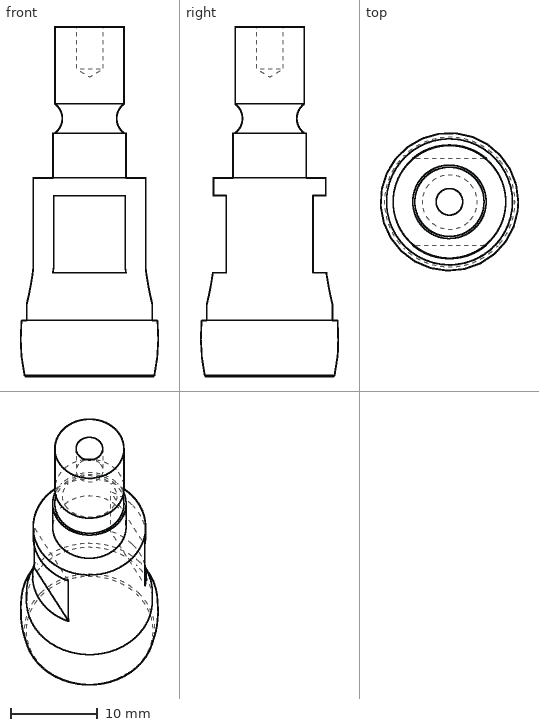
import cadquery as cq
import math

TOTAL_HEIGHT = 40.45

CAP_HEIGHT = 6.55
CAP_BASE_RADIUS = 7.32
CAP_BASE_CHAMFER = 0.2
CAP_BELLY_RADIUS = 7.95
CAP_BELLY_Z = 4.85
CAP_TOP_RADIUS = 7.9
CAP_TOP_ROUND = 0.15

BAND_RADIUS = 7.3
BAND_TOP_Z = 8.37
FLARE_MIDDLE_RADIUS = 6.9
FLARE_MIDDLE_Z = 10.05
FLARE_TOP_RADIUS = 6.65
FLARE_TOP_Z = 11.65
BODY_RADIUS = 6.5
BODY_BOTTOM_Z = 12.62
SHOULDER_Z = 23.0

FLATS_DISTANCE = 10.07
FLATS_BOTTOM_Z = 12.05
FLATS_TOP_Z = 20.95

COLLAR_RADIUS = 4.25
STEM_RADIUS = 4.0
GROOVE_FLOOR_RADIUS = 3.15
GROOVE_BOTTOM_Z = 28.2
GROOVE_TOP_Z = 31.55

HOLE_RADIUS = 1.55
HOLE_DEPTH = 4.85
DRILL_POINT_ANGLE = 118.0


def make_cap():
    """Solid of revolution with a bulging side, a chamfered base and a rounded top edge."""
    side_bottom = (CAP_BASE_RADIUS + CAP_BASE_CHAMFER, CAP_BASE_CHAMFER)
    side_top = (CAP_TOP_RADIUS, CAP_HEIGHT - CAP_TOP_ROUND)
    top_edge = (CAP_TOP_RADIUS - CAP_TOP_ROUND, CAP_HEIGHT)
    round_inset = CAP_TOP_ROUND * (1 - math.sqrt(0.5))
    round_middle = (CAP_TOP_RADIUS - round_inset, CAP_HEIGHT - round_inset)
    profile = (
        cq.Workplane("XZ")
        .lineTo(CAP_BASE_RADIUS, 0)
        .lineTo(*side_bottom)
        .threePointArc((CAP_BELLY_RADIUS, CAP_BELLY_Z), side_top)
        .threePointArc(round_middle, top_edge)
        .lineTo(0, CAP_HEIGHT)
        .close()
    )
    return profile.revolve(360, (0, 0), (0, 1))


def make_turned_holder():
    """Band, flared neck, body and grooved stem turned about Z."""
    groove_middle = (GROOVE_FLOOR_RADIUS, (GROOVE_BOTTOM_Z + GROOVE_TOP_Z) / 2)
    profile = (
        cq.Workplane("XZ")
        .moveTo(0, CAP_HEIGHT)
        .lineTo(BAND_RADIUS, CAP_HEIGHT)
        .lineTo(BAND_RADIUS, BAND_TOP_Z)
        .threePointArc((FLARE_MIDDLE_RADIUS, FLARE_MIDDLE_Z), (FLARE_TOP_RADIUS, FLARE_TOP_Z))
        .tangentArcPoint((BODY_RADIUS, BODY_BOTTOM_Z), relative=False)
        .lineTo(BODY_RADIUS, SHOULDER_Z)
        .lineTo(COLLAR_RADIUS, SHOULDER_Z)
        .lineTo(COLLAR_RADIUS, GROOVE_BOTTOM_Z)
        .lineTo(STEM_RADIUS, GROOVE_BOTTOM_Z)
        .threePointArc(groove_middle, (STEM_RADIUS, GROOVE_TOP_Z))
        .lineTo(STEM_RADIUS, TOTAL_HEIGHT)
        .lineTo(0, TOTAL_HEIGHT)
        .close()
    )
    return profile.revolve(360, (0, 0), (0, 1))


def make_flat_cutter(side):
    """Block that mills one flat; side is -1 for the -Y flat and +1 for the +Y flat."""
    block_depth = BAND_RADIUS
    return (
        cq.Workplane("XY", origin=(0, side * (FLATS_DISTANCE + block_depth) / 2, FLATS_BOTTOM_Z))
        .rect(2 * BAND_RADIUS, block_depth)
        .extrude(FLATS_TOP_Z - FLATS_BOTTOM_Z)
    )


def make_hole_cutter():
    """Drilled hole with a conical bottom, open at the stem top."""
    hole_bottom = TOTAL_HEIGHT - HOLE_DEPTH
    point_depth = HOLE_RADIUS / math.tan(math.radians(DRILL_POINT_ANGLE / 2))
    profile = (
        cq.Workplane("XZ")
        .moveTo(0, hole_bottom - point_depth)
        .lineTo(HOLE_RADIUS, hole_bottom)
        .lineTo(HOLE_RADIUS, TOTAL_HEIGHT)
        .lineTo(0, TOTAL_HEIGHT)
        .close()
    )
    return profile.revolve(360, (0, 0), (0, 1))


def make_holder():
    """Turned holder with its wrench flats and stem hole."""
    body = make_turned_holder().cut(make_hole_cutter())
    for side in (-1, 1):
        body = body.cut(make_flat_cutter(side))
    return body


cap = make_cap()
holder = make_holder()

result = cq.Compound.makeCompound([cap.val(), holder.val()])